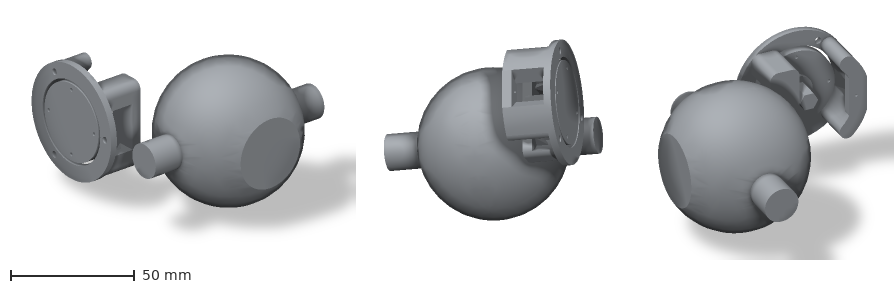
import cadquery as cq
import math

BALL_DIAMETER = 62.04
BALL_RADIUS = BALL_DIAMETER / 2
FLAT_DIAMETER = BALL_RADIUS
FLAT_X = math.sqrt(BALL_RADIUS**2 - (FLAT_DIAMETER / 2) ** 2)
AXLE_DIAMETER = 15
AXLE_SPAN = 88

OVERALL_X = 98.92
FLANGE_DIAMETER = 51
FLANGE_RADIUS = FLANGE_DIAMETER / 2
FLANGE_THICKNESS = 3
BORE_DIAMETER = 37
BORE_RADIUS = BORE_DIAMETER / 2
MOUNT_X = FLAT_X - OVERALL_X + FLANGE_RADIUS
MOUNT_Y = -AXLE_SPAN / 2
MOUNT_HEIGHT = 20.5
POST_HEIGHT = MOUNT_HEIGHT - FLANGE_THICKNESS
CAP_THICKNESS = 4
CAP_UNDERSIDE = MOUNT_HEIGHT - CAP_THICKNESS
SCREW_HOLE_DIAMETER = 2.9
SCREW_CIRCLE_RADIUS = 21.5
SCREW_COUNT = 3

POST_ANGLE = 45
DIAGONAL = math.cos(math.radians(POST_ANGLE))
END_RADIUS = (FLANGE_RADIUS - BORE_RADIUS) / 2
WALL_MID_RADIUS = (FLANGE_RADIUS + BORE_RADIUS) / 2
END_OFFSET = WALL_MID_RADIUS * DIAGONAL
INNER_POST_RIGHT = END_OFFSET + END_RADIUS
INNER_POST_LEFT = 6
POST_HALF_HEIGHT = END_OFFSET + END_RADIUS
INNER_WINDOW_HALF = 10.3

GUSSET_DEPTH = 4
GUSSET_HEIGHT = 6
GUSSET_ANGLE = 60
GUSSET_OVERLAP = 0.3

WINDOW_OUTER_HALF = 7.85
WINDOW_INNER_HALF = 4
WINDOW_OUTER_X = -math.sqrt(FLANGE_RADIUS**2 - WINDOW_OUTER_HALF**2)
WINDOW_INNER_X = -math.sqrt(BORE_RADIUS**2 - WINDOW_INNER_HALF**2)
OUTER_CAP_EDGE_X = -16.3
PIN_HOLE_DIAMETER = 1.2
PIN_HOLE_X = -19.4

DISC_DIAMETER = 34.5
DISC_THICKNESS = 5
BOSS_DIAMETER = 13
BOSS_TOP = 6.8
HEX_SIDES = 6
HEX_ACROSS_FLATS = 7
HEX_TOP = 17
DISC_HOLE_DIAMETER = 1.6
DISC_HOLE_CIRCLE_RADIUS = 14.5
DISC_HOLE_COUNT = 4


def mount_plane(height=0.0):
    """Plane facing +Y at a height above the flange face; local x is X and local y is -Z."""
    return cq.Workplane(
        cq.Plane(origin=(MOUNT_X, MOUNT_Y + height, 0), xDir=(1, 0, 0), normal=(0, 1, 0))
    )


def make_ball():
    ball = cq.Workplane("XY").sphere(BALL_RADIUS)
    axle = cq.Workplane("XZ").circle(AXLE_DIAMETER / 2).extrude(AXLE_SPAN / 2, both=True)
    beyond_flat = (
        cq.Workplane("YZ", origin=(FLAT_X, 0, 0))
        .rect(BALL_DIAMETER, BALL_DIAMETER)
        .extrude(BALL_RADIUS)
    )
    return ball.cut(beyond_flat).union(axle)


def make_outer_post():
    """Post on the -X side with rounded ends, a flat, a tapered window and a pin hole in its cap."""
    outer = FLANGE_RADIUS * DIAGONAL
    inner = BORE_RADIUS * DIAGONAL
    tip_x = -END_OFFSET + END_RADIUS * DIAGONAL
    tip_z = END_OFFSET + END_RADIUS * DIAGONAL
    post = (
        mount_plane()
        .moveTo(-outer, outer)
        .threePointArc((-FLANGE_RADIUS, 0), (-outer, -outer))
        .threePointArc((tip_x, -tip_z), (-inner, -inner))
        .lineTo(-inner, inner)
        .threePointArc((tip_x, tip_z), (-outer, outer))
        .close()
        .extrude(MOUNT_HEIGHT)
    )
    flat = (
        mount_plane(FLANGE_THICKNESS)
        .center(WINDOW_OUTER_X - FLANGE_RADIUS / 2, 0)
        .rect(FLANGE_RADIUS, 2 * WINDOW_OUTER_HALF)
        .extrude(POST_HEIGHT)
    )
    window = (
        mount_plane(FLANGE_THICKNESS)
        .polyline([
            (WINDOW_OUTER_X, WINDOW_OUTER_HALF),
            (WINDOW_INNER_X, WINDOW_INNER_HALF),
            (0, WINDOW_INNER_HALF),
            (0, -WINDOW_INNER_HALF),
            (WINDOW_INNER_X, -WINDOW_INNER_HALF),
            (WINDOW_OUTER_X, -WINDOW_OUTER_HALF),
        ])
        .close()
        .extrude(CAP_UNDERSIDE - FLANGE_THICKNESS)
    )
    pin_hole = (
        mount_plane(CAP_UNDERSIDE)
        .center(PIN_HOLE_X, 0)
        .circle(PIN_HOLE_DIAMETER / 2)
        .extrude(CAP_THICKNESS)
    )
    return post.cut(flat).cut(window).cut(pin_hole)


def make_inner_post():
    """Rounded block on the +X side, hollowed by the bore below its cap and open through the middle."""
    width = INNER_POST_RIGHT - INNER_POST_LEFT
    middle_x = (INNER_POST_RIGHT + INNER_POST_LEFT) / 2
    block = (
        mount_plane(FLANGE_THICKNESS)
        .center(middle_x, 0)
        .rect(width, 2 * POST_HALF_HEIGHT)
        .extrude(POST_HEIGHT)
        .edges("|Y")
        .fillet(END_RADIUS)
    )
    window = (
        mount_plane(FLANGE_THICKNESS)
        .center(middle_x, 0)
        .rect(width, 2 * INNER_WINDOW_HALF)
        .extrude(CAP_UNDERSIDE - FLANGE_THICKNESS)
    )
    return block.cut(window)


def make_gusset(side):
    """Web sloping from an inner leg to its cap, between the window and the 45 degree line."""
    depth = GUSSET_DEPTH + GUSSET_OVERLAP
    slope = GUSSET_HEIGHT / GUSSET_DEPTH
    web = (
        cq.Workplane("XY")
        .moveTo(BORE_RADIUS - GUSSET_DEPTH, CAP_UNDERSIDE)
        .lineTo(BORE_RADIUS + GUSSET_OVERLAP, CAP_UNDERSIDE)
        .lineTo(BORE_RADIUS + GUSSET_OVERLAP, CAP_UNDERSIDE - slope * depth)
        .close()
        .extrude(BORE_RADIUS, both=True)
        .rotate((0, 0, 0), (0, 1, 0), -side * GUSSET_ANGLE)
        .translate((MOUNT_X, MOUNT_Y, 0))
    )
    sector = (
        mount_plane()
        .moveTo(INNER_WINDOW_HALF, -side * INNER_WINDOW_HALF)
        .lineTo(FLANGE_RADIUS, -side * INNER_WINDOW_HALF)
        .lineTo(FLANGE_RADIUS, -side * FLANGE_RADIUS)
        .close()
        .extrude(MOUNT_HEIGHT)
    )
    leg_reach = mount_plane().circle(BORE_RADIUS + GUSSET_OVERLAP).extrude(MOUNT_HEIGHT)
    return web.intersect(sector).intersect(leg_reach)


def make_mount():
    flange = mount_plane().circle(FLANGE_RADIUS).extrude(FLANGE_THICKNESS)
    bore = mount_plane().circle(BORE_RADIUS).extrude(CAP_UNDERSIDE)
    screw_holes = (
        mount_plane()
        .polarArray(SCREW_CIRCLE_RADIUS, 0, 360, SCREW_COUNT)
        .circle(SCREW_HOLE_DIAMETER / 2)
        .extrude(FLANGE_THICKNESS)
    )
    gap = (
        mount_plane()
        .circle(BORE_RADIUS)
        .extrude(MOUNT_HEIGHT)
        .intersect(
            mount_plane()
            .center((OUTER_CAP_EDGE_X + INNER_POST_LEFT) / 2, 0)
            .rect(INNER_POST_LEFT - OUTER_CAP_EDGE_X, FLANGE_DIAMETER)
            .extrude(MOUNT_HEIGHT)
        )
    )
    body = flange.cut(screw_holes).union(make_outer_post()).union(make_inner_post())
    body = body.cut(bore).cut(gap)
    for side in (1, -1):
        body = body.union(make_gusset(side))
    return body


def make_rotor():
    disc_holes = (
        mount_plane()
        .polarArray(DISC_HOLE_CIRCLE_RADIUS, 0, 360, DISC_HOLE_COUNT)
        .circle(DISC_HOLE_DIAMETER / 2)
        .extrude(DISC_THICKNESS)
    )
    disc = mount_plane().circle(DISC_DIAMETER / 2).extrude(DISC_THICKNESS).cut(disc_holes)
    boss = mount_plane(DISC_THICKNESS).circle(BOSS_DIAMETER / 2).extrude(BOSS_TOP - DISC_THICKNESS)
    hex_diameter = HEX_ACROSS_FLATS / math.cos(math.pi / HEX_SIDES)
    shaft = mount_plane(BOSS_TOP).polygon(HEX_SIDES, hex_diameter).extrude(HEX_TOP - BOSS_TOP)
    return disc.union(boss).union(shaft)


ball = make_ball()
mount = make_mount()
rotor = make_rotor()

result = cq.Compound.makeCompound([ball.solids().val(), mount.solids().val(), rotor.solids().val()])